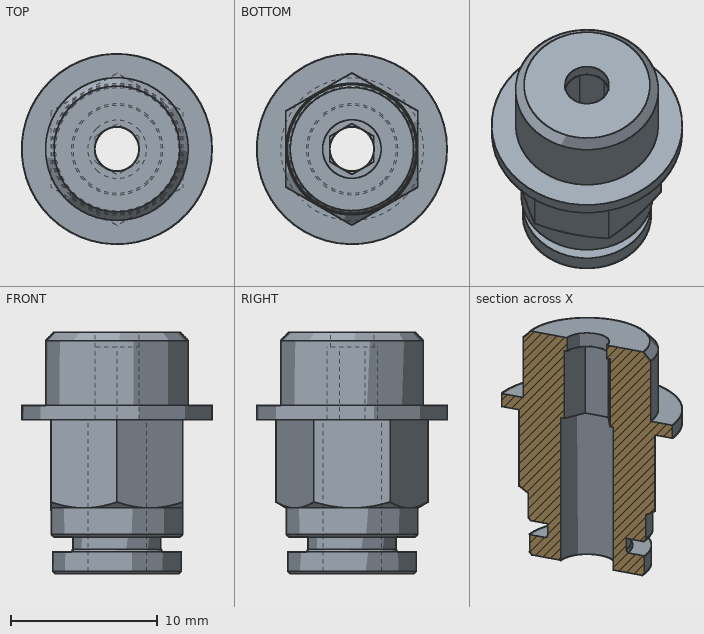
import cadquery as cq
import math

RING_HEIGHT = 1.5
NECK_HEIGHT = 1.0
COLLAR_HEIGHT = 2.0
HEX_HEIGHT = 6.0
FLANGE_HEIGHT = 0.99
TOTAL_HEIGHT = 16.5

RING_DIAMETER = 8.8
NECK_DIAMETER = 6.0
COLLAR_DIAMETER = 9.0
HEX_FLATS = COLLAR_DIAMETER
FLANGE_DIAMETER = 13.0
SPIGOT_DIAMETER = 9.74

SPIGOT_CHAMFER = 0.58
EDGE_CHAMFER = 0.2
NECK_FLARE_ANGLE = 30
HEX_CHAMFER_ANGLE = 30

ORIFICE_DIAMETER = 3.0
ORIFICE_DEPTH = 1.0
SOCKET_FLATS = ORIFICE_DIAMETER
TUBE_DIAMETER = 4.0

NECK_Z = RING_HEIGHT
COLLAR_Z = NECK_Z + NECK_HEIGHT
HEX_Z = COLLAR_Z + COLLAR_HEIGHT
FLANGE_Z = HEX_Z + HEX_HEIGHT
SPIGOT_Z = FLANGE_Z + FLANGE_HEIGHT
TUBE_STOP_Z = FLANGE_Z


def cylinder(diameter, bottom, top):
    return cq.Workplane("XY").workplane(offset=bottom).circle(diameter / 2).extrude(top - bottom)


def cone(bottom_radius, top_radius, bottom, height):
    solid = cq.Solid.makeCone(bottom_radius, top_radius, height, pnt=cq.Vector(0, 0, bottom))
    return cq.Workplane(obj=solid)


def hexagon(flats, bottom, top):
    """Hexagonal prism with flats facing +X and -X and corners on the Y axis."""
    corner_diameter = flats / math.cos(math.radians(30))
    prism = cq.Workplane("XY").polygon(6, corner_diameter).extrude(top - bottom)
    return prism.rotate((0, 0, 0), (0, 0, 1), 90).translate((0, 0, bottom))


def release_ring():
    """Push ring with a short neck that flares out where it meets the ring."""
    ring = cylinder(RING_DIAMETER, 0, NECK_Z).faces("<Z").edges().chamfer(EDGE_CHAMFER)
    neck = cylinder(NECK_DIAMETER, NECK_Z, COLLAR_Z)
    neck_radius = NECK_DIAMETER / 2
    flare_width = EDGE_CHAMFER * math.tan(math.radians(NECK_FLARE_ANGLE))
    flare = cone(neck_radius + flare_width, neck_radius, NECK_Z, EDGE_CHAMFER)
    return ring.union(neck).union(flare)


def hex_body():
    """Wrench hexagon whose lower corners are trimmed by a cone."""
    rise = math.tan(math.radians(HEX_CHAMFER_ANGLE))
    base_radius = HEX_FLATS / 2
    trim_cone = cone(base_radius, base_radius + HEX_HEIGHT / rise, HEX_Z, HEX_HEIGHT)
    return hexagon(HEX_FLATS, HEX_Z, FLANGE_Z).intersect(trim_cone)


def passage():
    """Tube bore, hexagonal socket and round orifice along the axis."""
    orifice_z = TOTAL_HEIGHT - ORIFICE_DEPTH
    tube_bore = cylinder(TUBE_DIAMETER, 0, TUBE_STOP_Z)
    socket = hexagon(SOCKET_FLATS, TUBE_STOP_Z, orifice_z)
    orifice = cylinder(ORIFICE_DIAMETER, orifice_z, TOTAL_HEIGHT)
    return tube_bore, socket, orifice


collar = cylinder(COLLAR_DIAMETER, COLLAR_Z, HEX_Z).faces("<Z").edges().chamfer(EDGE_CHAMFER)
flange = cylinder(FLANGE_DIAMETER, FLANGE_Z, SPIGOT_Z)
spigot = cylinder(SPIGOT_DIAMETER, SPIGOT_Z, TOTAL_HEIGHT).faces(">Z").edges().chamfer(SPIGOT_CHAMFER)

result = release_ring()
for section in (collar, hex_body(), flange, spigot):
    result = result.union(section)
for cavity in passage():
    result = result.cut(cavity)